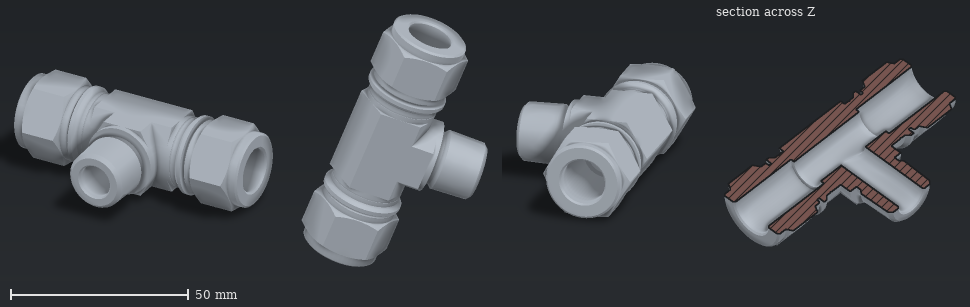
import cadquery as cq
import math

HEX_CORNER_RATIO = 2 / math.sqrt(3)

run_half_length = 36.1
nut_outer_x = 33.2
nut_inner_x = 21.1
sleeve_x = 19.0
sleeve_edge = 0.3
flange_outer_x = 18.2
flange_inner_x = 17.05
relief_outer_x = 14.45
relief_inner_x = 14.0
body_hex_half_length = 12.5

collar_diameter = 21.8
collar_face_diameter = 20.6
collar_chamfer_length = 0.5
sleeve_diameter = 21.5
groove_diameter = 18.9
flange_diameter = 23.0
relief_diameter = 20.3

nut_flats = 22.25
body_flats = 20.6
nut_chamfer_angle = 30.0

branch_hex_end = 12.35
branch_shoulder_end = 14.0
neck_end = 15.6
thread_start = 16.7
stem_end = 28.15
stem_chamfer = 1.1

neck_diameter = 15.5
thread_large_diameter = 17.5
thread_small_diameter = 16.9

run_bore_diameter = 10.4
tube_socket_diameter = 12.9
tube_socket_depth = 22.9
socket_mouth_diameter = 13.9
branch_bore_diameter = 9.7
branch_mouth_diameter = 10.55


def hexagon_along_x(flats, start, length):
    """Hexagonal bar along +X with its corners pointing to +Y and -Y."""
    return (
        cq.Workplane("YZ")
        .workplane(offset=start)
        .polygon(6, flats * HEX_CORNER_RATIO)
        .extrude(length)
    )


def turned_along_x(outline):
    """Solid turned about X from (position, radius) points between two places on the axis."""
    points = [(outline[0][0], 0), *outline, (outline[-1][0], 0)]
    return cq.Workplane("XY").polyline(points).close().revolve(360, (0, 0, 0), (1, 0, 0))


def turned_along_branch(outline):
    """Solid turned about Y from (distance, radius) points running towards -Y."""
    points = [(0, -outline[0][0]), *[(r, -d) for d, r in outline], (0, -outline[-1][0])]
    return cq.Workplane("XY").polyline(points).close().revolve(360, (0, 0, 0), (0, 1, 0))


def make_nut():
    """Hexagon of the +X nut, its corners turned down conically at both ends."""
    corner_radius = nut_flats * HEX_CORNER_RATIO / 2
    face_radius = collar_diameter / 2
    chamfer_length = (corner_radius - face_radius) * math.tan(math.radians(nut_chamfer_angle))
    envelope = turned_along_x([
        (nut_inner_x, face_radius),
        (nut_inner_x + chamfer_length, corner_radius),
        (nut_outer_x - chamfer_length, corner_radius),
        (nut_outer_x, face_radius),
    ])
    return hexagon_along_x(nut_flats, nut_inner_x, nut_outer_x - nut_inner_x).intersect(envelope)


def make_run_end():
    """Turned +X half of the run, with the nut on it."""
    body_radius = body_flats / 2
    flange_radius = flange_diameter / 2
    cone_end_x = flange_inner_x - (flange_radius - body_radius)
    turned = turned_along_x([
        (0, body_radius),
        (relief_inner_x, body_radius),
        (relief_inner_x, relief_diameter / 2),
        (relief_outer_x, relief_diameter / 2),
        (relief_outer_x, body_radius),
        (cone_end_x, body_radius),
        (flange_inner_x, flange_radius),
        (flange_outer_x, flange_radius),
        (flange_outer_x, groove_diameter / 2),
        (sleeve_x, groove_diameter / 2),
        (sleeve_x, sleeve_diameter / 2 - sleeve_edge),
        (sleeve_x + sleeve_edge, sleeve_diameter / 2),
        (nut_inner_x, sleeve_diameter / 2),
        (nut_inner_x, collar_diameter / 2),
        (run_half_length - collar_chamfer_length, collar_diameter / 2),
        (run_half_length, collar_face_diameter / 2),
    ])
    return turned.union(make_nut())


def make_body_hexagons():
    """Hexagonal run and branch blocks; corners facing the tee's inner angles stay round."""
    touch_offset = body_flats / 2 * math.cos(math.radians(30))
    corner_radius = body_flats * HEX_CORNER_RATIO / 2
    run_trim = cq.Workplane("XY").box(
        2 * body_hex_half_length, touch_offset + corner_radius, body_flats
    ).translate((0, (corner_radius - touch_offset) / 2, 0))
    run_block = hexagon_along_x(
        body_flats, -body_hex_half_length, 2 * body_hex_half_length
    ).intersect(run_trim)

    branch_trim = cq.Workplane("XY").box(2 * touch_offset, 2 * branch_hex_end, body_flats)
    branch_block = (
        hexagon_along_x(body_flats, 0, branch_hex_end)
        .rotate((0, 0, 0), (0, 0, 1), -90)
        .intersect(branch_trim)
    )
    return run_block.union(branch_block)


def make_branch():
    """Turned branch: round shoulder, thread relief neck and tapered thread stem."""
    return turned_along_branch([
        (0, body_flats / 2),
        (branch_shoulder_end, body_flats / 2),
        (branch_shoulder_end, neck_diameter / 2),
        (neck_end, neck_diameter / 2),
        (thread_start, thread_large_diameter / 2),
        (stem_end - stem_chamfer, thread_small_diameter / 2),
        (stem_end, thread_small_diameter / 2 - stem_chamfer),
    ])


def make_run_end_bore():
    """Bore of the +X half: through bore, tube socket and chamfered mouth."""
    socket_radius = tube_socket_diameter / 2
    mouth_radius = socket_mouth_diameter / 2
    socket_floor_x = run_half_length - tube_socket_depth
    return turned_along_x([
        (0, run_bore_diameter / 2),
        (socket_floor_x, run_bore_diameter / 2),
        (socket_floor_x, socket_radius),
        (run_half_length - (mouth_radius - socket_radius), socket_radius),
        (run_half_length, mouth_radius),
    ])


def make_branch_bore():
    """Branch bore from the run axis to the chamfered stem mouth."""
    bore_radius = branch_bore_diameter / 2
    mouth_radius = branch_mouth_diameter / 2
    return turned_along_branch([
        (0, bore_radius),
        (stem_end - (mouth_radius - bore_radius), bore_radius),
        (stem_end, mouth_radius),
    ])


body = make_body_hexagons().union(make_branch())
bores = make_branch_bore()
run_end = make_run_end()
run_end_bore = make_run_end_bore()
for end_angle in (0, 180):
    body = body.union(run_end.rotate((0, 0, 0), (0, 0, 1), end_angle))
    bores = bores.union(run_end_bore.rotate((0, 0, 0), (0, 0, 1), end_angle))

result = body.cut(bores)